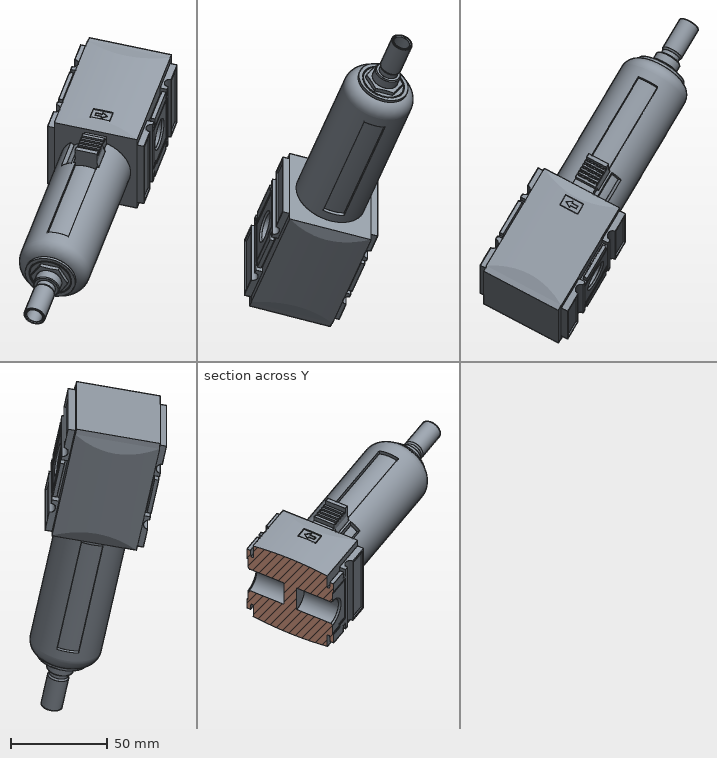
import cadquery as cq
import math


HEAD_WIDTH = 44.8
HEAD_LENGTH = 64.8
BACK_CAP = 3.0
CAP_INSET = 0.2
SIDE_HEIGHT = 50.8
CROWN_RISE = 1.6
CROWN_BEVEL = 6.5
CAP_DROP = 0.5

OVERALL_WIDTH = 52.0
FLANGE_TOP = 21.5
FLANGE_BOTTOM = -21.1
FLANGE_LENGTH = HEAD_LENGTH - BACK_CAP
FLANGE_FRONT = 0.09
FLANGE_CENTRE = FLANGE_LENGTH / 2
CLAMP_GROOVE_DIAMETER = 5.4
CLAMP_GROOVE_SPACING = 34.0

PAD_LENGTH = 9.5
PAD_HEIGHT = 40.1
PAD_EDGE = 1.0
PAD_DEPTH = 0.9

PANEL_LENGTH = 24.5
SLOT_FLOOR = 17.2
TONGUE_GAP = 2.1
TONGUE_TIP_THICKNESS = 2.1
TONGUE_ROOT_THICKNESS = 2.5
RECESS_TOP = 15.0
RECESS_BOTTOM = -15.0
RECESS_STEP_LENGTH = 5.7
RECESS_STEP_HEIGHT = 1.6
RECESS_LEDGE = 0.5
RECESS_LEDGE_DEPTH = 0.2
RECESS_DEPTH = 0.5

PORT_DIAMETER = 15.0
PORT_MOUTH_DIAMETER = 17.0
PORT_DEPTH = 21.5

BADGE_WIDTH = 10.5
BADGE_LENGTH = 6.3
BADGE_CENTRE_Y = 11.0
BADGE_DEPTH = 0.7
ARROW_LENGTH = 6.5
ARROW_HEAD_LENGTH = 3.0
ARROW_HEAD_WIDTH = 4.0
ARROW_SHAFT_WIDTH = 1.6
ARROW_HEIGHT = 0.4

BOWL_RADIUS = 37.8 / 2
DOME_START = -75.7
COLLAR_START = -83.2
COLLAR_END = -84.7
COLLAR_RADIUS = 27.0 / 2
COLLAR_GROOVE_OUTER = 23.0
COLLAR_GROOVE_INNER = 22.0
COLLAR_GROOVE_DEPTH = 0.9

WINDOW_WIDTH = 11.5
WINDOW_START = -5.0
WINDOW_END = -70.3
WINDOW_FLOOR_RADIUS = 16.8

HEX_FLATS = 17.4
HEX_END = -86.8
HEX_CHAMFER_ANGLE = 15
HUB_RADIUS = 14.0 / 2
HUB_END = -92.2
HUB_CHAMFER = 0.5
NECK_RADIUS = 10.0 / 2
NECK_END = -94.9
STEM_TAPER = 1.0
STEM_RADIUS = 11.3 / 2
STEM_END = -114.2
STEM_CHAMFER = 0.4
BORE_DIAMETER = 8.6
BORE_MOUTH_DIAMETER = 9.7
BORE_DEPTH = 17.9

LATCH_WIDTH = 11.8
LATCH_LENGTH = 17.7
LATCH_ROOT = 15.2
LATCH_NECK_HEIGHT = 23.0
LATCH_NECK_LENGTH = 3.8
LATCH_GRIP_HEIGHT = 25.6
LATCH_FIN_HEIGHT = 27.4
LATCH_FIN_START = 15.5
GRIP_GROOVE_COUNT = 5
GRIP_GROOVE_WIDTH = 1.0
GRIP_GROOVE_DEPTH = 1.3
GRIP_GROOVE_START = 5.4
LAST_GROOVE_START = LATCH_FIN_START - GRIP_GROOVE_WIDTH
GRIP_GROOVE_PITCH = (LAST_GROOVE_START - GRIP_GROOVE_START) / (GRIP_GROOVE_COUNT - 1)
SKIRT_WIDTH = 13.6
SKIRT_HEIGHT = 20.5
SKIRT_START = 5.4

GUIDE_INNER_X = -7.9
GUIDE_FLOOR_X = -11.6
GUIDE_OUTER_X = -13.5
GUIDE_FLOOR_RADIUS = 16.5
GUIDE_LENGTH = 17.7


def block(x_range, y_range, z_range):
    """Box between two limits along each axis."""
    sizes = [high - low for low, high in (x_range, y_range, z_range)]
    corner = (x_range[0], y_range[0], z_range[0])
    return cq.Workplane("XY").box(*sizes, centered=False).translate(corner)


def rod(radius, start_y, end_y):
    """Cylinder about the bowl axis, from start_y down to end_y."""
    return cq.Workplane("XZ", origin=(0, start_y, 0)).circle(radius).extrude(start_y - end_y)


def both_sides(shape):
    """The shape together with its mirror image in the YZ plane."""
    return shape.union(shape.mirror("YZ"))



def crowned_block():
    """Block with arched top and bottom, beveled toward the front and the back."""
    half_width = HEAD_WIDTH / 2
    half_height = SIDE_HEIGHT / 2
    crown = half_height + CROWN_RISE
    arched = (
        cq.Workplane("XZ")
        .moveTo(-half_width, -half_height)
        .threePointArc((0, -crown), (half_width, -half_height))
        .lineTo(half_width, half_height)
        .threePointArc((0, crown), (-half_width, half_height))
        .close()
        .extrude(-HEAD_LENGTH)
    )
    upper = [
        (0, half_height),
        (CROWN_BEVEL, crown),
        (FLANGE_LENGTH - CROWN_BEVEL, crown),
        (FLANGE_LENGTH, half_height),
        (HEAD_LENGTH, half_height - CAP_DROP),
    ]
    lower = [(y, -z) for y, z in reversed(upper)]
    side_outline = (
        cq.Workplane("YZ").polyline(upper + lower).close().extrude(half_width, both=True)
    )
    cap_strip = block(
        (-half_width, -half_width + CAP_INSET),
        (FLANGE_LENGTH, HEAD_LENGTH),
        (-half_height, half_height),
    )
    return arched.intersect(side_outline).cut(both_sides(cap_strip))


def flange():
    """Plate on the -X side with the two vertical clamp grooves."""
    outer = -OVERALL_WIDTH / 2
    plate = block((outer, 0), (FLANGE_FRONT, FLANGE_LENGTH), (FLANGE_BOTTOM, FLANGE_TOP))
    grooves = (
        cq.Workplane("XY", origin=(outer, FLANGE_CENTRE, FLANGE_BOTTOM))
        .rarray(1.8, CLAMP_GROOVE_SPACING, 1, 2)
        .circle(CLAMP_GROOVE_DIAMETER / 2)
        .extrude(FLANGE_TOP - FLANGE_BOTTOM)
    )
    return plate.cut(grooves)


def pad_pockets():
    """Shallow pockets near the front and back ends of the -X flange."""
    outer = -OVERALL_WIDTH / 2
    spacing = FLANGE_LENGTH - 2 * PAD_EDGE - PAD_LENGTH
    return (
        cq.Workplane("YZ", origin=(outer, FLANGE_CENTRE, 0))
        .rarray(spacing, 1.8, 2, 1)
        .rect(PAD_LENGTH, PAD_HEIGHT)
        .extrude(PAD_DEPTH)
    )


def tongue_slot(edge_z, floor_z):
    """U-shaped slot from one edge of the -X flange, leaving a tongue with a tapered back."""
    outer = -OVERALL_WIDTH / 2
    slot_half = PANEL_LENGTH / 2
    tongue_half = slot_half - TONGUE_GAP
    slot = block(
        (outer, -HEAD_WIDTH / 2),
        (FLANGE_CENTRE - slot_half, FLANGE_CENTRE + slot_half),
        sorted((edge_z, floor_z)),
    )
    tongue = (
        cq.Workplane("XZ", origin=(0, FLANGE_CENTRE, 0))
        .polyline([
            (outer, floor_z),
            (outer + TONGUE_ROOT_THICKNESS, floor_z),
            (outer + TONGUE_TIP_THICKNESS, edge_z),
            (outer, edge_z),
        ])
        .close()
        .extrude(tongue_half, both=True)
    )
    return slot.cut(tongue)


def recess_layer(ledge, depth):
    """Recess of one depth around the port, drawn in by ledge at its top and bottom."""
    back = FLANGE_CENTRE + PANEL_LENGTH / 2
    front = FLANGE_CENTRE - PANEL_LENGTH / 2
    step_y = front + RECESS_STEP_LENGTH
    bottom = RECESS_BOTTOM + ledge
    top = RECESS_TOP - ledge
    outline = [
        (front, bottom + RECESS_STEP_HEIGHT),
        (step_y, bottom + RECESS_STEP_HEIGHT),
        (step_y, bottom),
        (back, bottom),
        (back, top),
        (front, top),
    ]
    return (
        cq.Workplane("YZ", origin=(-OVERALL_WIDTH / 2, 0, 0))
        .polyline(outline)
        .close()
        .extrude(depth)
    )


def port_recess():
    """Shallow recess around the port with narrow ledges and a stepped lower front corner."""
    rim = recess_layer(0, RECESS_LEDGE_DEPTH)
    return rim.union(recess_layer(RECESS_LEDGE, RECESS_DEPTH))


def port():
    """Blind port hole with a chamfered mouth, opening in the recess floor."""
    mouth_x = -OVERALL_WIDTH / 2 + RECESS_DEPTH
    radius = PORT_DIAMETER / 2
    mouth_radius = PORT_MOUTH_DIAMETER / 2
    return (
        cq.Workplane("XY")
        .polyline([
            (mouth_x, 0),
            (mouth_x, mouth_radius),
            (mouth_x + mouth_radius - radius, radius),
            (mouth_x + PORT_DEPTH, radius),
            (mouth_x + PORT_DEPTH, 0),
        ])
        .close()
        .revolve(360, (0, 0, 0), (1, 0, 0))
        .translate((0, FLANGE_CENTRE, 0))
    )


def badge_pocket():
    """Rectangular pocket in the crown with a raised flow arrow on its floor."""
    crown = SIDE_HEIGHT / 2 + CROWN_RISE
    plane = cq.Workplane("XY", origin=(0, BADGE_CENTRE_Y, crown - BADGE_DEPTH))
    tip = ARROW_LENGTH / 2
    neck = tip - ARROW_HEAD_LENGTH
    shaft = ARROW_SHAFT_WIDTH / 2
    barb = ARROW_HEAD_WIDTH / 2
    arrow = (
        plane.polyline([
            (-tip, -shaft),
            (neck, -shaft),
            (neck, -barb),
            (tip, 0),
            (neck, barb),
            (neck, shaft),
            (-tip, shaft),
        ])
        .close()
        .extrude(ARROW_HEIGHT)
    )
    return plane.rect(BADGE_WIDTH, BADGE_LENGTH).extrude(BADGE_DEPTH).cut(arrow)


def make_head():
    side_cuts = (
        pad_pockets()
        .union(tongue_slot(FLANGE_TOP, SLOT_FLOOR))
        .union(tongue_slot(FLANGE_BOTTOM, -SLOT_FLOOR))
        .union(port_recess())
        .union(port())
    )
    return (
        crowned_block()
        .union(both_sides(flange()))
        .cut(both_sides(side_cuts))
        .cut(badge_pocket())
    )



def bowl_shell():
    """Turned bowl: straight wall, domed end and flat collar."""
    dome_length = DOME_START - COLLAR_START
    dome_drop = BOWL_RADIUS - COLLAR_RADIUS
    dome_radius = (dome_drop**2 + dome_length**2) / (2 * dome_drop)
    half_sweep = math.asin(dome_length / dome_radius) / 2
    dome_middle = (
        BOWL_RADIUS - dome_radius * (1 - math.cos(half_sweep)),
        DOME_START - dome_radius * math.sin(half_sweep),
    )
    return (
        cq.Workplane("XY")
        .moveTo(0, 0)
        .lineTo(BOWL_RADIUS, 0)
        .lineTo(BOWL_RADIUS, DOME_START)
        .threePointArc(dome_middle, (COLLAR_RADIUS, COLLAR_START))
        .lineTo(COLLAR_RADIUS, COLLAR_END)
        .lineTo(0, COLLAR_END)
        .close()
        .revolve(360, (0, 0, 0), (0, 1, 0))
    )


def collar_groove():
    """Thin ring groove in the collar's end face."""
    return (
        cq.Workplane("XZ", origin=(0, COLLAR_END, 0))
        .circle(COLLAR_GROOVE_OUTER / 2)
        .circle(COLLAR_GROOVE_INNER / 2)
        .extrude(-COLLAR_GROOVE_DEPTH)
    )


def windows():
    """Long sunk windows at the top and bottom with floors concentric to the bowl."""
    strip = block(
        (-WINDOW_WIDTH / 2, WINDOW_WIDTH / 2),
        (WINDOW_END, WINDOW_START),
        (-BOWL_RADIUS, BOWL_RADIUS),
    )
    return strip.cut(rod(WINDOW_FLOOR_RADIUS, 0, WINDOW_END))


def guide_slot():
    """Slot left of the latch: upright inner wall, concentric floor, sloped outer wall."""
    floor_z = math.sqrt(GUIDE_FLOOR_RADIUS**2 - GUIDE_FLOOR_X**2)
    rim_z = math.sqrt(BOWL_RADIUS**2 - GUIDE_OUTER_X**2)
    prism = (
        cq.Workplane("XZ")
        .polyline([
            (GUIDE_INNER_X, floor_z),
            (GUIDE_FLOOR_X, floor_z),
            (GUIDE_OUTER_X, rim_z),
            (GUIDE_OUTER_X, BOWL_RADIUS),
            (GUIDE_INNER_X, BOWL_RADIUS),
        ])
        .close()
        .extrude(GUIDE_LENGTH)
    )
    return prism.cut(rod(GUIDE_FLOOR_RADIUS, 0, -GUIDE_LENGTH))


def latch():
    """Latch button: stepped profile with a grooved grip, an end fin and flared skirts."""
    profile = [
        (0, LATCH_ROOT),
        (0, LATCH_NECK_HEIGHT),
        (-LATCH_NECK_LENGTH, LATCH_NECK_HEIGHT),
        (-LATCH_NECK_LENGTH, LATCH_GRIP_HEIGHT),
        (-LATCH_FIN_START, LATCH_GRIP_HEIGHT),
        (-LATCH_FIN_START, LATCH_FIN_HEIGHT),
        (-LATCH_LENGTH, LATCH_FIN_HEIGHT),
        (-LATCH_LENGTH, LATCH_ROOT),
    ]
    body = cq.Workplane("YZ").polyline(profile).close().extrude(LATCH_WIDTH / 2, both=True)
    for index in range(GRIP_GROOVE_COUNT):
        start_y = -GRIP_GROOVE_START - index * GRIP_GROOVE_PITCH
        body = body.cut(block(
            (-LATCH_WIDTH / 2, LATCH_WIDTH / 2),
            (start_y - GRIP_GROOVE_WIDTH, start_y),
            (LATCH_GRIP_HEIGHT - GRIP_GROOVE_DEPTH, LATCH_GRIP_HEIGHT),
        ))

    half_skirt = SKIRT_WIDTH / 2
    half_latch = LATCH_WIDTH / 2
    skirt_base = math.sqrt(BOWL_RADIUS**2 - half_skirt**2)
    skirt = (
        cq.Workplane("XZ", origin=(0, -SKIRT_START, 0))
        .polyline([
            (-half_skirt, LATCH_ROOT),
            (-half_skirt, skirt_base),
            (-half_latch, SKIRT_HEIGHT),
            (half_latch, SKIRT_HEIGHT),
            (half_skirt, skirt_base),
            (half_skirt, LATCH_ROOT),
        ])
        .close()
        .extrude(LATCH_LENGTH - SKIRT_START)
    )
    return body.union(skirt)


def hexagon():
    """Hexagon with points along X, its end corners chamfered by a cone."""
    corner_radius = HEX_FLATS / 2 / math.cos(math.pi / 6)
    face_radius = HEX_FLATS / 2
    chamfer = (corner_radius - face_radius) * math.tan(math.radians(HEX_CHAMFER_ANGLE))
    prism = (
        cq.Workplane("XZ", origin=(0, COLLAR_END, 0))
        .polygon(6, 2 * corner_radius)
        .extrude(COLLAR_END - HEX_END)
    )
    envelope = (
        cq.Workplane("XY")
        .polyline([
            (0, COLLAR_END),
            (corner_radius, COLLAR_END),
            (corner_radius, HEX_END + chamfer),
            (face_radius, HEX_END),
            (0, HEX_END),
        ])
        .close()
        .revolve(360, (0, 0, 0), (0, 1, 0))
    )
    return prism.intersect(envelope)


def drain():
    """Hexagon, hub, neck and bored hose stem at the far end of the bowl."""
    bore_radius = BORE_DIAMETER / 2
    mouth_radius = BORE_MOUTH_DIAMETER / 2
    bore_bottom = STEM_END + BORE_DEPTH
    turned = (
        cq.Workplane("XY")
        .polyline([
            (0, HEX_END),
            (HUB_RADIUS, HEX_END),
            (HUB_RADIUS, HUB_END + HUB_CHAMFER),
            (HUB_RADIUS - HUB_CHAMFER, HUB_END),
            (NECK_RADIUS, HUB_END),
            (NECK_RADIUS, NECK_END),
            (STEM_RADIUS, NECK_END - STEM_TAPER),
            (STEM_RADIUS, STEM_END + STEM_CHAMFER),
            (STEM_RADIUS - STEM_CHAMFER, STEM_END),
            (mouth_radius, STEM_END),
            (bore_radius, STEM_END + mouth_radius - bore_radius),
            (bore_radius, bore_bottom),
            (0, bore_bottom),
        ])
        .close()
        .revolve(360, (0, 0, 0), (0, 1, 0))
    )
    return hexagon().union(turned)


def make_bowl():
    return (
        bowl_shell()
        .cut(collar_groove())
        .cut(windows())
        .cut(guide_slot())
        .union(latch())
        .union(drain())
    )


head = make_head()
bowl = make_bowl()

result = cq.Compound.makeCompound([head.solids().val(), bowl.solids().val()])